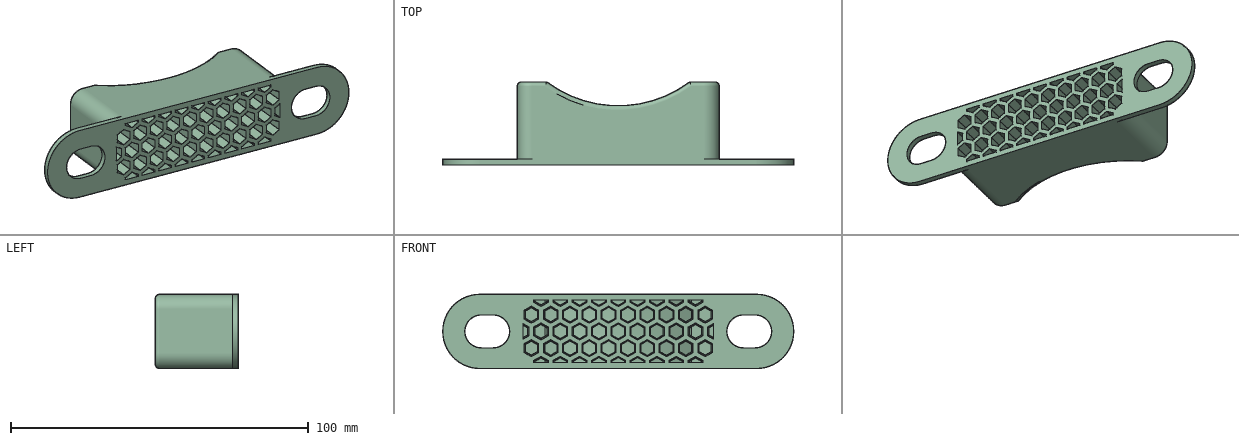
import cadquery as cq
import math

PLATE_LENGTH = 118
PLATE_HEIGHT = 25.0
PLATE_THICKNESS = 2.0

SLOT_LENGTH = 15.0
SLOT_HEIGHT = 11.0
SLOT_OFFSET = 44.0

TOTAL_DEPTH = 28.0
BODY_LENGTH = 68.0
BODY_CORNER_RADIUS = 5.0
RIM_RADIUS = 1.5

SADDLE_RADIUS = 40.0
SADDLE_DEPTH = 8.0
SADDLE_CENTER_Y = TOTAL_DEPTH - SADDLE_DEPTH + SADDLE_RADIUS

WALL = 2.0
HEXAGON_SIDES = 6
CELL_PITCH = 6.5
CELL_GAP = 1.5
CELL_DRAFT = 1
CELLS_PER_ROW = (9, 10, 11, 10, 9)

FACE_PLANE = cq.Plane(origin=(0, 0, 0), xDir=(1, 0, 0), normal=(0, 1, 0))


def saddle_cutter(radius):
    """Cylinder along Z, concentric with the saddle."""
    return (
        cq.Workplane("XY")
        .center(0, SADDLE_CENTER_Y)
        .circle(radius)
        .extrude(PLATE_HEIGHT, both=True)
    )


def make_plate():
    slot_centers = [(-SLOT_OFFSET, 0), (SLOT_OFFSET, 0)]
    slots = (
        cq.Workplane(FACE_PLANE)
        .pushPoints(slot_centers)
        .slot2D(SLOT_LENGTH, SLOT_HEIGHT)
        .extrude(PLATE_THICKNESS)
    )
    outline = cq.Workplane(FACE_PLANE).slot2D(PLATE_LENGTH, PLATE_HEIGHT)
    return outline.extrude(PLATE_THICKNESS).cut(slots)


def make_body():
    block = (
        cq.Workplane(FACE_PLANE)
        .rect(BODY_LENGTH, PLATE_HEIGHT)
        .extrude(TOTAL_DEPTH)
        .edges("|Y")
        .fillet(BODY_CORNER_RADIUS)
        .cut(saddle_cutter(SADDLE_RADIUS))
    )
    saddle_floor_y = TOTAL_DEPTH - SADDLE_DEPTH
    land_end_x = BODY_LENGTH / 2 - BODY_CORNER_RADIUS
    rim_edges = cq.selectors.BoxSelector(
        (-BODY_LENGTH, saddle_floor_y, -PLATE_HEIGHT),
        (BODY_LENGTH, TOTAL_DEPTH + RIM_RADIUS, PLATE_HEIGHT),
    )
    sharp_edges = cq.selectors.BoxSelector(
        (-land_end_x, saddle_floor_y, -RIM_RADIUS),
        (land_end_x, TOTAL_DEPTH + RIM_RADIUS, RIM_RADIUS),
    )
    return block.edges(rim_edges - sharp_edges).fillet(RIM_RADIUS)


def cell_centers():
    """Rows centred on X = 0, so neighbouring rows stagger by half a pitch."""
    row_pitch = CELL_PITCH * math.sqrt(3) / 2
    middle_row = len(CELLS_PER_ROW) // 2
    centers = []
    for row, cell_count in enumerate(CELLS_PER_ROW):
        z = (row - middle_row) * row_pitch
        for cell in range(cell_count):
            x = (cell - (cell_count - 1) / 2) * CELL_PITCH
            centers.append((x, z))
    return centers


def make_honeycomb():
    cavity = (
        cq.Workplane(FACE_PLANE)
        .rect(BODY_LENGTH - 2 * WALL, PLATE_HEIGHT - 2 * WALL)
        .extrude(TOTAL_DEPTH - WALL)
        .cut(saddle_cutter(SADDLE_RADIUS + WALL))
    )
    corner_diameter = (CELL_PITCH - CELL_GAP) * 2 / math.sqrt(3)
    corner_up = (0, 0, 90)
    cell = (
        cq.Workplane(FACE_PLANE)
        .transformed(rotate=corner_up)
        .polygon(HEXAGON_SIDES, corner_diameter)
        .extrude(TOTAL_DEPTH, taper=CELL_DRAFT)
    )
    cells = cq.Workplane("XY")
    for x, z in cell_centers():
        cells.add(cell.translate((x, 0, z)))
    cells = cells.combine()
    return cavity.intersect(cells)


result = make_plate().union(make_body()).cut(make_honeycomb())